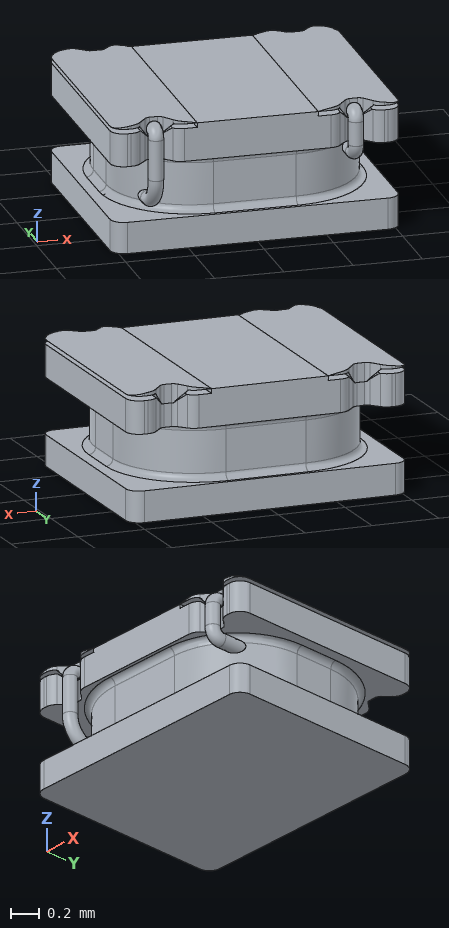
import cadquery as cq


LENGTH = 2.08
WIDTH = 1.68
CORNER_RADIUS = 0.1
BOTTOM_FLANGE_TOP = 0.23
TOP_FLANGE_BOTTOM = 0.64
CORE_TOP = 0.915

WINDING_LENGTH = 1.805
WINDING_WIDTH = 1.527
WINDING_CORNER_RADIUS = 0.603
WINDING_FILLET = 0.05
WINDING_THICKNESS = 0.312

NOTCH_X = 0.722
NOTCH_DEPTH = 0.108
NOTCH_MOUTH_HALF = 0.148
NOTCH_FLOOR_HALF = 0.05
NOTCH_MOUTH_RADIUS = 0.1
NOTCH_FLOOR_RADIUS = 0.05

CENTRE_HALF = 0.437
LEDGE_Z = 0.882
TROUGH_FLOOR_Z = 0.811
TROUGH_FLOOR_HALF = 0.044
TROUGH_MOUTH_HALF = TROUGH_FLOOR_HALF + LEDGE_Z - TROUGH_FLOOR_Z

DOME_TOP = 0.95
KEEL_TOP_HALF = 0.123

WIRE_RADIUS = 0.055
WIRE_PROUD = 0.008
WIRE_Y = -(WIDTH / 2 + WIRE_PROUD - WIRE_RADIUS)
WIRE_TOP_Z = TROUGH_FLOOR_Z + WIRE_RADIUS
TOP_BEND_RADIUS = 0.056
SOLDERED_RUN = 0.105
LEFT_WIRE_LOW_Z = 0.312
LEFT_BEND_RADIUS = 0.202
RIGHT_WIRE_LOW_Z = 0.562
RIGHT_BEND_RADIUS = 0.073
BURIED_END_Y = -0.458

SIDES = (-1, 1)


def rounded_block(length, width, radius, bottom, top):
    """Upright block with rounded corners, centred on the Z axis."""
    return (
        cq.Workplane("XY").workplane(offset=bottom)
        .rect(length, width).extrude(top - bottom)
        .edges("|Z").fillet(radius)
    )


def along_width(profile):
    """Extrude a closed XZ profile over the whole width of the part."""
    return profile.extrude(WIDTH / 2, both=True)


def round_upright_edges(block, half_x, half_y, radius):
    """Round the four upright edges of a block that stand at +-half_x, +-half_y."""
    middle = block.val().Center().z
    for side_x in SIDES:
        for side_y in SIDES:
            corner = (side_x * half_x, side_y * half_y, middle)
            edge = cq.selectors.NearestToPointSelector(corner)
            block = block.edges(edge).fillet(radius)
    return block


def top_flange_plan(bottom, top):
    """Block with the outline of the top flange, including its four wire notches."""
    block = cq.Workplane("XY").workplane(offset=bottom).rect(LENGTH, WIDTH).extrude(top - bottom)
    edge_y = WIDTH / 2
    floor_y = edge_y - NOTCH_DEPTH
    for side_x in SIDES:
        for side_y in SIDES:
            centre = side_x * NOTCH_X
            notch = (
                cq.Workplane("XY").workplane(offset=bottom)
                .polyline([
                    (centre - NOTCH_MOUTH_HALF, side_y * edge_y),
                    (centre - NOTCH_FLOOR_HALF, side_y * floor_y),
                    (centre + NOTCH_FLOOR_HALF, side_y * floor_y),
                    (centre + NOTCH_MOUTH_HALF, side_y * edge_y),
                ])
                .close().extrude(top - bottom)
            )
            block = block.cut(notch)
    block = round_upright_edges(block, LENGTH / 2, edge_y, CORNER_RADIUS)
    for side in SIDES:
        floor_x = NOTCH_X + side * NOTCH_FLOOR_HALF
        mouth_x = NOTCH_X + side * NOTCH_MOUTH_HALF
        block = round_upright_edges(block, floor_x, floor_y, NOTCH_FLOOR_RADIUS)
        block = round_upright_edges(block, mouth_x, edge_y, NOTCH_MOUTH_RADIUS)
    return block


def electrode_seat(side):
    """Space above one ledge of the core, with the trough below it."""
    trough_x = side * NOTCH_X
    outer_x = side * LENGTH / 2
    inner_x = side * CENTRE_HALF
    return along_width(
        cq.Workplane("XZ").polyline([
            (outer_x, CORE_TOP),
            (outer_x, LEDGE_Z),
            (trough_x + side * TROUGH_MOUTH_HALF, LEDGE_Z),
            (trough_x + side * TROUGH_FLOOR_HALF, TROUGH_FLOOR_Z),
            (trough_x - side * TROUGH_FLOOR_HALF, TROUGH_FLOOR_Z),
            (trough_x - side * TROUGH_MOUTH_HALF, LEDGE_Z),
            (inner_x, LEDGE_Z),
            (inner_x, CORE_TOP),
        ]).close()
    )


def make_core():
    """Drum core: plain bottom flange, hub, and notched top flange with two electrode seats."""
    hub = rounded_block(
        WINDING_LENGTH - 2 * WINDING_THICKNESS,
        WINDING_WIDTH - 2 * WINDING_THICKNESS,
        WINDING_CORNER_RADIUS - WINDING_THICKNESS,
        BOTTOM_FLANGE_TOP,
        TOP_FLANGE_BOTTOM,
    )
    top_flange = top_flange_plan(TOP_FLANGE_BOTTOM, CORE_TOP)
    for side in SIDES:
        top_flange = top_flange.cut(electrode_seat(side))
    bottom_flange = rounded_block(LENGTH, WIDTH, CORNER_RADIUS, 0, BOTTOM_FLANGE_TOP)
    return bottom_flange.union(hub).union(top_flange)


def make_wire(side, low_z, bend_radius):
    """Wire end: from the solder, over the flange edge, down, and back into the winding."""
    x = side * NOTCH_X
    top_bend_y = WIRE_Y + TOP_BEND_RADIUS
    path = (
        cq.Workplane("YZ", origin=(x, 0, 0))
        .moveTo(top_bend_y + SOLDERED_RUN, WIRE_TOP_Z)
        .lineTo(top_bend_y, WIRE_TOP_Z)
        .tangentArcPoint((WIRE_Y, WIRE_TOP_Z - TOP_BEND_RADIUS), relative=False)
        .lineTo(WIRE_Y, low_z + bend_radius)
        .tangentArcPoint((WIRE_Y + bend_radius, low_z), relative=False)
        .lineTo(BURIED_END_Y, low_z)
    )
    section = cq.Workplane("XZ", origin=(x, top_bend_y + SOLDERED_RUN, WIRE_TOP_Z)).circle(WIRE_RADIUS)
    return section.sweep(path)


def make_winding(core, wires):
    """Coated winding: a ring around the hub, filleted against both flanges, bored for the wires."""
    spool = rounded_block(
        WINDING_LENGTH, WINDING_WIDTH, WINDING_CORNER_RADIUS, BOTTOM_FLANGE_TOP, TOP_FLANGE_BOTTOM
    )
    for bottom, top in ((0, BOTTOM_FLANGE_TOP), (TOP_FLANGE_BOTTOM, CORE_TOP)):
        spool = spool.union(rounded_block(LENGTH, WIDTH, CORNER_RADIUS, bottom, top))
    half_length = (WINDING_LENGTH + WINDING_FILLET) / 2
    half_width = (WINDING_WIDTH + WINDING_FILLET) / 2
    for junction in (BOTTOM_FLANGE_TOP, TOP_FLANGE_BOTTOM):
        around_junction = cq.selectors.BoxSelector(
            (-half_length, -half_width, junction - WINDING_FILLET / 2),
            (half_length, half_width, junction + WINDING_FILLET / 2),
        )
        spool = spool.edges(around_junction).fillet(WINDING_FILLET)
    between_flanges = rounded_block(LENGTH, WIDTH, CORNER_RADIUS, BOTTOM_FLANGE_TOP, TOP_FLANGE_BOTTOM)
    winding = spool.intersect(between_flanges).cut(core)
    for wire in wires:
        winding = winding.cut(wire)
    return winding


def make_electrode(side, wire):
    """Domed solder electrode with a keel in the trough, bored for the wire soldered into it."""
    keel_x = side * NOTCH_X
    outer_x = side * LENGTH / 2
    inner_x = side * CENTRE_HALF
    profile = (
        cq.Workplane("XZ")
        .moveTo(outer_x, CORE_TOP)
        .threePointArc(((outer_x + inner_x) / 2, DOME_TOP), (inner_x, CORE_TOP))
        .lineTo(keel_x - side * KEEL_TOP_HALF, CORE_TOP)
        .lineTo(keel_x - side * TROUGH_FLOOR_HALF, TROUGH_FLOOR_Z)
        .lineTo(keel_x + side * TROUGH_FLOOR_HALF, TROUGH_FLOOR_Z)
        .lineTo(keel_x + side * KEEL_TOP_HALF, CORE_TOP)
        .close()
    )
    plan = top_flange_plan(TROUGH_FLOOR_Z, DOME_TOP)
    return along_width(profile).intersect(plan).cut(wire)


core = make_core()
wires = [
    make_wire(-1, LEFT_WIRE_LOW_Z, LEFT_BEND_RADIUS),
    make_wire(1, RIGHT_WIRE_LOW_Z, RIGHT_BEND_RADIUS),
]
winding = make_winding(core, wires)
electrodes = [make_electrode(side, wire) for side, wire in zip(SIDES, wires)]

bodies = [core, winding, *wires, *electrodes]
result = cq.Compound.makeCompound([body.solids().val() for body in bodies])